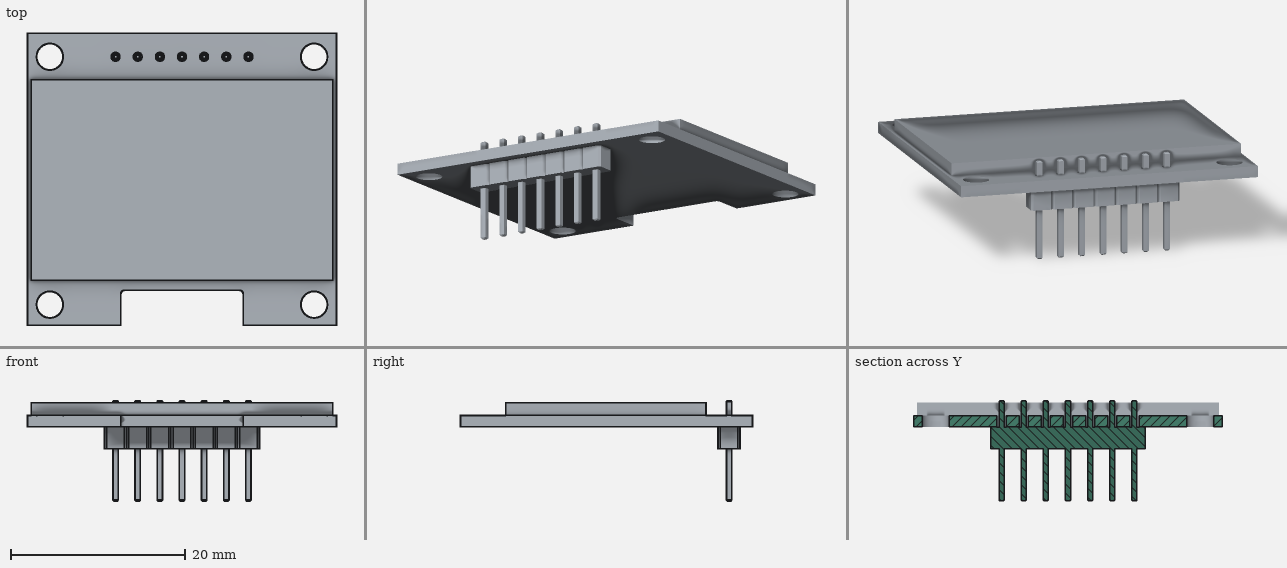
import cadquery as cq

board_length = 35.5
board_width = 33.5
board_thickness = 1.3

panel_length = 34.6
panel_width = 23.0
panel_thickness = 1.45
panel_back_margin = 5.32

mount_hole_diameter = 3.0
mount_hole_side_margin = 2.6
mount_hole_back_margin = 2.7
mount_hole_front_margin = 2.38

notch_length = 14.02
notch_depth = 4.0
notch_corner_radius = 0.43

pin_count = 7
strip_length = 17.8
pitch = strip_length / pin_count
block_height = 2.52
block_chamfer = 0.25

pin_side = 0.65
pin_length = 11.55
pin_tail = 6.0
pin_tip_chamfer = 0.15
pin_hole_diameter = 1.0

board_back = board_width / 2
board_front = -board_width / 2
header_y = board_back - mount_hole_back_margin
pin_points = [((i - (pin_count - 1) / 2) * pitch, header_y) for i in range(pin_count)]


def make_display_module():
    """Board with its notch and holes, and the panel fixed on top of it."""
    board = cq.Workplane("XY").box(
        board_length, board_width, board_thickness, centered=(True, True, False)
    )

    notch = (
        cq.Workplane("XY")
        .center(0, board_front + notch_depth / 2)
        .rect(notch_length, notch_depth)
        .extrude(board_thickness)
        .edges("|Z and >Y")
        .fillet(notch_corner_radius)
    )

    mount_x = board_length / 2 - mount_hole_side_margin
    mount_points = [
        (x, y)
        for x in (-mount_x, mount_x)
        for y in (board_front + mount_hole_front_margin, board_back - mount_hole_back_margin)
    ]
    mount_holes = (
        cq.Workplane("XY")
        .pushPoints(mount_points)
        .circle(mount_hole_diameter / 2)
        .extrude(board_thickness)
    )
    pin_holes = (
        cq.Workplane("XY")
        .pushPoints(pin_points)
        .circle(pin_hole_diameter / 2)
        .extrude(board_thickness)
    )

    panel = (
        cq.Workplane("XY", origin=(0, 0, board_thickness))
        .center(0, board_back - panel_back_margin - panel_width / 2)
        .rect(panel_length, panel_width)
        .extrude(panel_thickness)
    )
    return board.cut(notch).cut(mount_holes).cut(pin_holes).union(panel)


def make_header_unit(x, y):
    """One block of the strip, hanging under the board, with its pin."""
    block = (
        cq.Workplane("XY", origin=(x, y, -block_height))
        .rect(pitch, pitch)
        .extrude(block_height)
        .edges("|Z")
        .chamfer(block_chamfer)
    )
    pin = (
        cq.Workplane("XY", origin=(x, y, -block_height - pin_tail))
        .rect(pin_side, pin_side)
        .extrude(pin_length)
        .faces("<Z or >Z")
        .chamfer(pin_tip_chamfer)
    )
    return block.union(pin)


def make_pin_header():
    """The whole strip; neighbouring blocks join along their flat sides."""
    header = make_header_unit(*pin_points[0])
    for point in pin_points[1:]:
        header = header.union(make_header_unit(*point))
    return header


display_module = make_display_module()
pin_header = make_pin_header()

result = cq.Compound.makeCompound([display_module.solids().val(), pin_header.solids().val()])